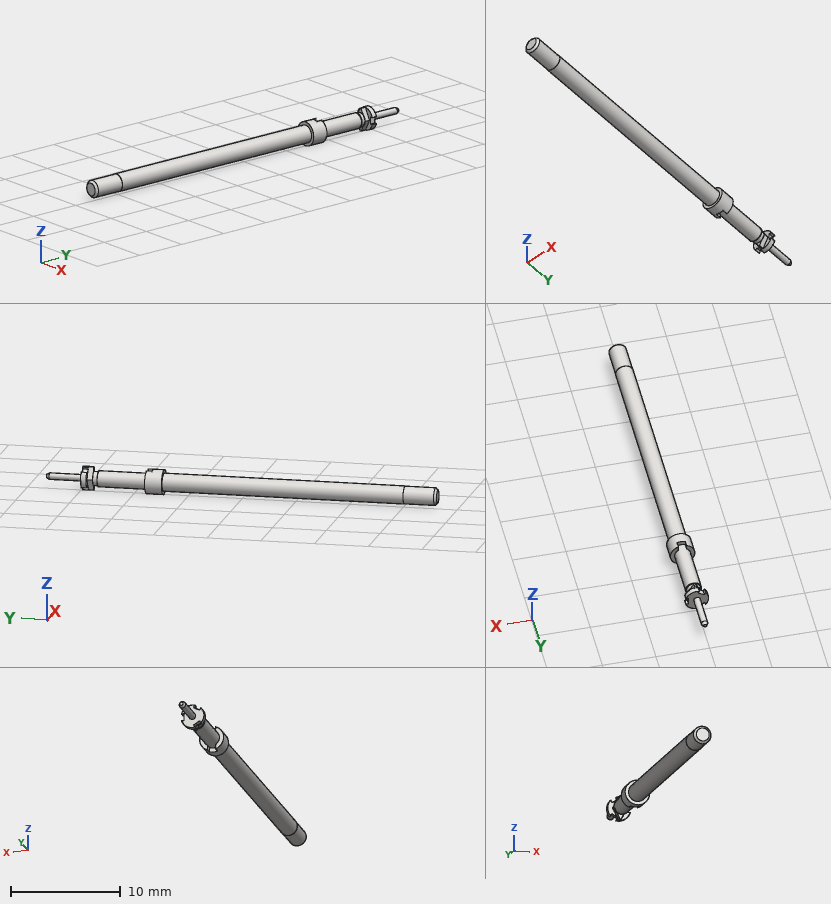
import cadquery as cq

total_length = 36.4
disc_start = 3.4
disc_end = 3.9
diamond_end = 4.4
neck_end = 4.85
collar_start = 9.35
collar_end = 10.92
tail_length = 3.05
tail_start = total_length - tail_length

pin_diameter = 0.62
disc_diameter = 2.2
neck_diameter = 1.3
barrel_diameter = 1.5
collar_diameter = 2.3
tube_diameter = 1.67
tail_diameter = 1.65

pin_tip_inset = 0.15
pin_tip_length = 0.3
tail_chamfer = 0.22

disc_slot_count = 3
disc_slot_width = 0.65
disc_slot_floor = 0.8

diamond_width = neck_diameter
diamond_height = 2.45

collar_slot_width = 0.75
collar_slot_length = 0.55


def section_plane(distance):
    """Workplane facing -Y, at a distance behind the pin tip."""
    return cq.Workplane("XZ", origin=(0, total_length - distance, 0))


def cylinder(diameter, start, end):
    """Round section on the Y axis between two distances behind the tip."""
    return section_plane(start).circle(diameter / 2).extrude(end - start)


def make_pin():
    """Slender contact pin, tapered at its free end."""
    pin = cylinder(pin_diameter, 0, disc_start)
    return pin.faces(">Y").chamfer(pin_tip_length, pin_tip_inset)


def make_keying_disc():
    """Thin disc with flat-floored slots evenly spaced around its rim."""
    disc = cylinder(disc_diameter, disc_start, disc_end)
    slot_depth = disc_diameter / 2 - disc_slot_floor
    slot = (
        section_plane(disc_start)
        .center(disc_slot_floor + slot_depth / 2, 0)
        .rect(slot_depth, disc_slot_width)
        .extrude(disc_end - disc_start)
    )
    for index in range(disc_slot_count):
        angle = index * 360 / disc_slot_count
        disc = disc.cut(slot.rotate((0, 0, 0), (0, 1, 0), angle))
    return disc


def make_diamond_key():
    """Upright diamond plate directly behind the disc, with blunted points."""
    diamond = (
        section_plane(disc_end)
        .moveTo(-diamond_width / 2, 0)
        .lineTo(0, diamond_height / 2)
        .lineTo(diamond_width / 2, 0)
        .lineTo(0, -diamond_height / 2)
        .close()
        .extrude(diamond_end - disc_end)
    )
    return diamond.intersect(cylinder(disc_diameter, disc_end, diamond_end))


def make_collar():
    """Collar whose front edge is slotted straight through along Z."""
    collar = cylinder(collar_diameter, collar_start, collar_end)
    slot = (
        section_plane(collar_start)
        .rect(collar_slot_width, collar_diameter)
        .extrude(collar_slot_length)
    )
    return collar.cut(slot)


def make_tail():
    """Slightly slimmer closed end of the tube, chamfered at its rim."""
    tail = cylinder(tail_diameter, tail_start, total_length)
    return tail.faces("<Y").chamfer(tail_chamfer)


neck = cylinder(neck_diameter, diamond_end, neck_end)
barrel = cylinder(barrel_diameter, neck_end, collar_end)
tube = cylinder(tube_diameter, collar_end, tail_start)

result = (
    tube
    .union(make_tail())
    .union(make_collar())
    .union(barrel)
    .union(neck)
    .union(make_diamond_key())
    .union(make_keying_disc())
    .union(make_pin())
)